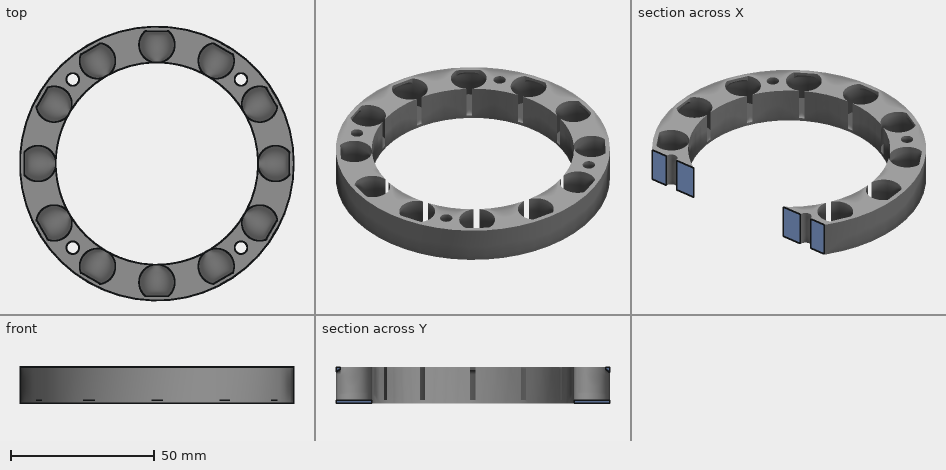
import cadquery as cq

outer_diameter = 95.75
bore_diameter = 70.61
height = 12.7

pocket_count = 12
pocket_diameter = 12.5
pocket_circle_radius = 41.46
floor_thickness = 1.1

lip_thickness = floor_thickness
lip_face_radius = 46.25
lip_fillet_radius = 1.5

bolt_hole_count = 4
bolt_hole_diameter = 4.32
bolt_circle_radius = 41.54
bolt_start_angle = 45.0


def make_ring():
    return cq.Workplane("XY").circle(outer_diameter / 2).circle(bore_diameter / 2).extrude(height)


def pocket_cylinder(top):
    """Cylinder of the pocket on the +X axis, from its floor up to the given height."""
    return (
        cq.Workplane("XY", origin=(pocket_circle_radius, 0, floor_thickness))
        .circle(pocket_diameter / 2)
        .extrude(top - floor_thickness)
    )


def make_pocket():
    """Cutting body of one pocket: a round chamber under the lip and a D-shaped mouth."""
    chamber = pocket_cylinder(height - lip_thickness).faces(">Z").edges().fillet(lip_fillet_radius)
    beyond_lip_face = cq.Workplane("XY", origin=(lip_face_radius, 0, 0)).box(
        pocket_diameter, pocket_diameter, height, centered=(False, True, False)
    )
    mouth = pocket_cylinder(height).cut(beyond_lip_face)
    return mouth.union(chamber)


def cut_pockets(body):
    pocket = make_pocket()
    for index in range(pocket_count):
        angle = index * 360 / pocket_count
        body = body.cut(pocket.rotate((0, 0, 0), (0, 0, 1), angle))
    return body


def cut_bolt_holes(body):
    holes = (
        cq.Workplane("XY")
        .polarArray(bolt_circle_radius, bolt_start_angle, 360, bolt_hole_count)
        .circle(bolt_hole_diameter / 2)
        .extrude(height)
    )
    return body.cut(holes)


result = cut_bolt_holes(cut_pockets(make_ring()))